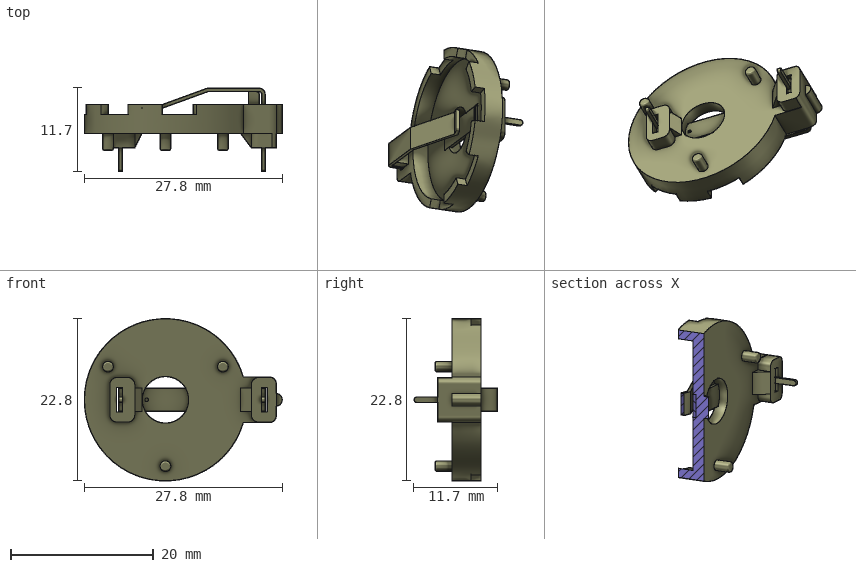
import cadquery as cq
import math


OVERALL_LENGTH = 27.77

BODY_DIAMETER = 22.77
CAVITY_DIAMETER = 20.2
HOLE_DIAMETER = 6.5
BODY_HEIGHT = 4.1
FLOOR_THICKNESS = 1.8

NOTCH_FLOOR = 2.7
NOTCH_ANGLE = 25.0
NOTCH_CENTERS = (80.0, 130.0, 180.0, 230.0, 280.0)

LUG_END = 15.55
LUG_WIDTH = 6.41
CORNER_RADIUS = 1.0
BUMP_RADIUS = 0.9
BUMP_CENTER_X = OVERALL_LENGTH - BODY_DIAMETER / 2 - BUMP_RADIUS

PAD_HEIGHT = 2.0
PAD_LENGTH = 3.5
PAD_WIDTH = 6.25
LEFT_PAD_START = -7.8
LEFT_RAMP_LENGTH = 1.0
RIGHT_RAMP_LENGTH = 1.5

PEG_DIAMETER = 1.5
PEG_LENGTH = 2.35
PEG_TIP_RADIUS = 0.3
PEG_CIRCLE_RADIUS = 9.3
PEG_ANGLES = (30.0, 150.0, 270.0)

SHEET = 0.5
CONTACT_WIDTH = 3.25
BEND_INNER_RADIUS = 0.4
LEFT_PIN_X = -6.3
PIN_PITCH = 20.05
RIGHT_PIN_X = LEFT_PIN_X + PIN_PITCH
PIN_WIDTH = 0.8
PIN_TIP_Y = -5.3
SHOULDER_DEPTH = 0.6
SHOULDER_Y = SHOULDER_DEPTH - PAD_HEIGHT

LEFT_SLOT_LENGTH = 0.8
RIGHT_SLOT_LENGTH = 0.75
SLOT_WIDTH = 3.42

LOWER_END_X = 4.35
LOWER_STRIP_Y = FLOOR_THICKNESS - SHEET
DIMPLE_X = -2.65
DIMPLE_DIAMETER = 0.5
DIMPLE_DEPTH = 0.25

SPRING_TOP = 6.4
SPRING_BEND_X = 5.92
SPRING_ANGLE = 20.0
SPRING_LOW_Y = 2.83
SPRING_TIP_ANGLE = 16.0
SPRING_TIP_TOP = 3.75
SPRING_CORNER_RADIUS = 0.4

POST_START = 11.64
POST_LENGTH = 1.53
POST_EDGE_RADIUS = 0.4


def block(x_start, x_end, y_start, y_end, width):
    """Box between two X and two Y positions, centred on Z = 0."""
    size_x = x_end - x_start
    size_y = y_end - y_start
    center = (x_start + size_x / 2, y_start + size_y / 2, 0)
    return cq.Workplane("XY").box(size_x, size_y, width).translate(center)


def disc(radius, y_start, y_end, x=0.0, z=0.0):
    """Cylinder along Y."""
    axis = cq.Vector(0, 1, 0)
    return cq.Workplane(cq.Solid.makeCylinder(radius, y_end - y_start, cq.Vector(x, y_start, z), axis))


def prism(points, width):
    """XY outline extruded symmetrically about Z = 0."""
    return cq.Workplane("XY").polyline(points).close().extrude(width / 2, both=True)


def offset_line(path, distance):
    """Path moved sideways by a distance, with mitred corners."""
    headings = [math.atan2(b[1] - a[1], b[0] - a[0]) for a, b in zip(path, path[1:])]
    moved = []
    for i, (x, y) in enumerate(path):
        before = headings[max(i - 1, 0)]
        after = headings[min(i, len(headings) - 1)]
        normal = (before + after + math.pi) / 2
        reach = distance / math.cos((after - before) / 2)
        moved.append((x + reach * math.cos(normal), y + reach * math.sin(normal)))
    return moved


def bent_strip(path):
    """Sheet of constant thickness that follows a centre line, with its first corner bent round."""
    sides = [offset_line(path, side * SHEET / 2) for side in (-1, 1)]
    strip = prism(sides[0] + sides[1][::-1], CONTACT_WIDTH)
    for side in sides:
        is_inner = (side[1][0] - path[1][0]) * (path[2][0] - path[1][0]) > 0
        radius = BEND_INNER_RADIUS if is_inner else BEND_INNER_RADIUS + SHEET
        corner = cq.selectors.NearestToPointSelector((side[1][0], side[1][1], 0))
        strip = strip.edges("|Z").edges(corner).fillet(radius)
    return strip


def contact_pin(x):
    """Narrow solder pin with a half-round tip, below the shoulders of a blade."""
    tip_radius = PIN_WIDTH / 2
    tip_center_y = PIN_TIP_Y + tip_radius
    shank = block(x - SHEET / 2, x + SHEET / 2, tip_center_y, SHOULDER_Y, PIN_WIDTH)
    tip_start = cq.Vector(x - SHEET / 2, tip_center_y, 0)
    return shank.union(cq.Workplane(cq.Solid.makeCylinder(tip_radius, SHEET, tip_start, cq.Vector(1, 0, 0))))


def make_lower_contact():
    strip_y = LOWER_STRIP_Y + SHEET / 2
    path = [(LEFT_PIN_X, SHOULDER_Y), (LEFT_PIN_X, strip_y), (LOWER_END_X, strip_y)]
    dimple = disc(DIMPLE_DIAMETER / 2, LOWER_STRIP_Y, LOWER_STRIP_Y + DIMPLE_DEPTH, DIMPLE_X)
    return bent_strip(path).union(contact_pin(LEFT_PIN_X)).cut(dimple)


def make_upper_contact():
    slope = math.radians(SPRING_ANGLE)
    tip_slope = math.radians(SPRING_TIP_ANGLE)
    half_turn = (slope + tip_slope) / 2
    flat_y = SPRING_TOP - SHEET / 2
    low_y = SPRING_LOW_Y + SHEET / 2 / math.cos(half_turn) * math.cos((slope - tip_slope) / 2)
    low_x = SPRING_BEND_X - (flat_y - low_y) / math.tan(slope)
    tip_y = SPRING_TIP_TOP - SHEET / 2 * math.cos(tip_slope)
    tip_x = low_x - (tip_y - low_y) / math.tan(tip_slope)
    path = [
        (RIGHT_PIN_X, SHOULDER_Y),
        (RIGHT_PIN_X, flat_y),
        (SPRING_BEND_X, flat_y),
        (low_x, low_y),
        (tip_x, tip_y),
    ]
    spring = bent_strip(path)
    for side in (-1, 1):
        corner = cq.selectors.NearestToPointSelector((tip_x, tip_y, side * CONTACT_WIDTH / 2))
        spring = spring.edges(corner).fillet(SPRING_CORNER_RADIUS)
    return spring.union(contact_pin(RIGHT_PIN_X))


def lug_block(x_start, y_start, y_end):
    """Block that ends at the rounded end of the lug."""
    return block(x_start, LUG_END, y_start, y_end, LUG_WIDTH).edges("|Y and >X").fillet(CORNER_RADIUS)


def notch(center_angle):
    """Wedge from the disc axis outward that opens the rim above the notch floor."""
    angles = [math.radians(center_angle + side * NOTCH_ANGLE / 2) for side in (-1, 1)]
    corners = [(BODY_DIAMETER * math.cos(a), BODY_DIAMETER * math.sin(a)) for a in angles]
    wedge = cq.Workplane("XZ").polyline([(0, 0)] + corners).close().extrude(NOTCH_FLOOR - BODY_HEIGHT)
    return wedge.translate((0, NOTCH_FLOOR, 0))


def make_pads():
    left_pad_end = LEFT_PAD_START + PAD_LENGTH
    right_pad_start = LUG_END - PAD_LENGTH
    left_pad = block(LEFT_PAD_START, left_pad_end, -PAD_HEIGHT, 0, PAD_WIDTH)
    left_pad = left_pad.edges("|Y").fillet(CORNER_RADIUS)
    right_pad = block(right_pad_start, LUG_END, -PAD_HEIGHT, 0, PAD_WIDTH)
    right_pad = right_pad.edges("|Y and <X").fillet(CORNER_RADIUS)
    right_pad = right_pad.intersect(lug_block(right_pad_start, -PAD_HEIGHT, 0))
    left_ramp = prism(
        [(left_pad_end, -PAD_HEIGHT), (left_pad_end, 0), (left_pad_end + LEFT_RAMP_LENGTH, 0)],
        CONTACT_WIDTH,
    )
    right_ramp = prism(
        [(right_pad_start, -PAD_HEIGHT), (right_pad_start, 0), (right_pad_start - RIGHT_RAMP_LENGTH, 0)],
        CONTACT_WIDTH,
    )
    return [left_pad, right_pad, left_ramp, right_ramp]


def make_peg(angle):
    x = PEG_CIRCLE_RADIUS * math.cos(math.radians(angle))
    z = PEG_CIRCLE_RADIUS * math.sin(math.radians(angle))
    return disc(PEG_DIAMETER / 2, -PEG_LENGTH, 0, x, z).faces("<Y").edges().fillet(PEG_TIP_RADIUS)


def make_post():
    post_top = SPRING_TOP - SHEET
    post = block(POST_START, POST_START + POST_LENGTH, BODY_HEIGHT, post_top, CONTACT_WIDTH)
    return post.edges(">X and >Y").fillet(POST_EDGE_RADIUS)


def make_housing():
    body = disc(BODY_DIAMETER / 2, 0, BODY_HEIGHT)
    body = body.union(lug_block(0, 0, BODY_HEIGHT))
    body = body.union(disc(BUMP_RADIUS, 0, BODY_HEIGHT, BUMP_CENTER_X))
    body = body.cut(disc(CAVITY_DIAMETER / 2, FLOOR_THICKNESS, BODY_HEIGHT))
    body = body.cut(disc(HOLE_DIAMETER / 2, 0, FLOOR_THICKNESS))
    for angle in NOTCH_CENTERS:
        body = body.cut(notch(angle))
    for feature in make_pads() + [make_peg(angle) for angle in PEG_ANGLES] + [make_post()]:
        body = body.union(feature)
    left_slot_end = LEFT_PIN_X + SHEET / 2
    left_slot_start = left_slot_end - LEFT_SLOT_LENGTH
    right_slot_start = RIGHT_PIN_X - SHEET / 2
    right_slot_end = right_slot_start + RIGHT_SLOT_LENGTH
    for start, end in ((left_slot_start, left_slot_end), (right_slot_start, right_slot_end)):
        body = body.cut(block(start, end, -PAD_HEIGHT, BODY_HEIGHT, SLOT_WIDTH))
    return body


lower_contact = make_lower_contact().solids().val()
upper_contact = make_upper_contact().solids().val()
housing = make_housing().cut(lower_contact).solids().val()

result = cq.Compound.makeCompound([housing, lower_contact, upper_contact])